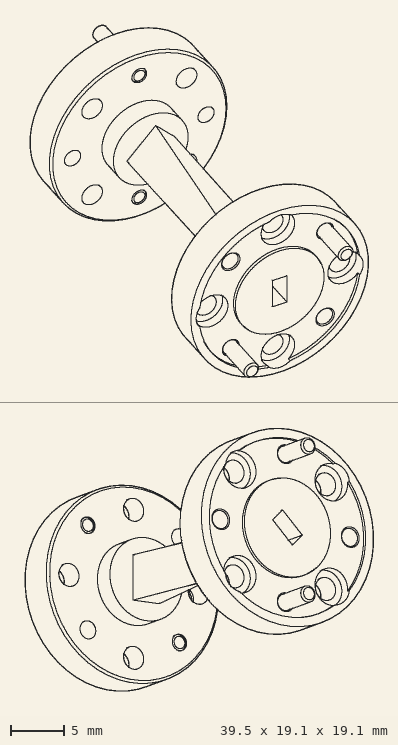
import cadquery as cq
import math

overall_length = 39.5
flange_span = 31.75
flange_diameter = 19.05
flange_thickness = 4.05
flange_chamfer = 0.25

hub_diameter = 8.0
hub_length = 2.25

recess_depth = 0.35
recess_outer_diameter = 17.25
recess_inner_diameter = 9.5

bolt_circle_diameter = 14.3
screw_hole_diameter = 2.2
counterbore_diameter = 3.6
counterbore_depth = 1.4

dowel_diameter = 1.58
dowel_chamfer = 0.2
dowel_hole_diameter = 1.75
hole_mouth_chamfer = 0.1

bore_width = 3.1
bore_height = 1.55
tube_width = 4.4
tube_height = 2.9

twist_angle = 45.0

flange_outer_x = flange_span / 2
flange_inner_x = flange_outer_x - flange_thickness
hub_inner_x = flange_inner_x - hub_length
recess_floor_x = flange_outer_x - recess_depth
dowel_tip_x = overall_length / 2
bolt_circle_radius = bolt_circle_diameter / 2

screw_angles = [45, 135, 225, 315]
dowel_hole_angles = [0, 180]
dowel_angles = [90, 270]
far_flange_turn = -twist_angle


def on_bolt_circle(angles):
    """(y, z) points on the bolt circle at the given angles."""
    return [
        (bolt_circle_radius * math.cos(math.radians(a)), bolt_circle_radius * math.sin(math.radians(a)))
        for a in angles
    ]


def section_at(x):
    """Plane across the waveguide axis: local x is Y, local y is Z, normal is +X."""
    return cq.Workplane("YZ", origin=(x, 0, 0))


def to_far_end(body):
    """Mirror a -X end shape to the +X end and turn it to that end's dowel position."""
    return body.mirror("YZ").rotate((0, 0, 0), (1, 0, 0), far_flange_turn)


def holes(diameter, angles, start_x, depth):
    """Cylinders on the bolt circle, running in +X from start_x."""
    return section_at(start_x).pushPoints(on_bolt_circle(angles)).circle(diameter / 2).extrude(depth)


def make_mouth_cone(y, z, hole_diameter):
    """Cutter for the chamfered mouth of a hole in the recess floor."""
    hole_radius = hole_diameter / 2
    mouth_center = cq.Vector(-recess_floor_x, y, z)
    cone = cq.Solid.makeCone(
        hole_radius + hole_mouth_chamfer, hole_radius, hole_mouth_chamfer, mouth_center, cq.Vector(1, 0, 0)
    )
    return cq.Workplane(cone)


def make_flange():
    """Flange and hub at the -X end, with its recess and all its round holes."""
    disc = section_at(-flange_outer_x).circle(flange_diameter / 2).extrude(flange_thickness)
    disc = disc.faces(">X").edges().chamfer(flange_chamfer)
    hub = section_at(-flange_inner_x).circle(hub_diameter / 2).extrude(hub_length)
    recess = (
        section_at(-flange_outer_x)
        .circle(recess_outer_diameter / 2)
        .circle(recess_inner_diameter / 2)
        .extrude(recess_depth)
    )
    flange = disc.union(hub).cut(recess)
    flange = flange.cut(holes(screw_hole_diameter, screw_angles, -flange_outer_x, flange_thickness))
    flange = flange.cut(holes(counterbore_diameter, screw_angles, -flange_outer_x, counterbore_depth))
    dowel_bores = ((dowel_hole_diameter, dowel_hole_angles), (dowel_diameter, dowel_angles))
    for diameter, angles in dowel_bores:
        flange = flange.cut(holes(diameter, angles, -flange_outer_x, flange_thickness))
        for y, z in on_bolt_circle(angles):
            flange = flange.cut(make_mouth_cone(y, z, diameter))
    return flange


def make_passage(width, height, end_x):
    """Bars from -end_x to end_x: a straight one through each end, a twisted one between the hubs."""
    straight_length = end_x - hub_inner_x
    far_section = cq.Sketch().rect(height, width)
    near_section = cq.Sketch().rect(height, width, angle=-twist_angle)
    near = section_at(-end_x).placeSketch(near_section).extrude(straight_length)
    far = section_at(hub_inner_x).placeSketch(far_section).extrude(straight_length)
    raised_far_section = far_section.moved(cq.Location(cq.Vector(0, 0, 2 * hub_inner_x)))
    twisted = section_at(-hub_inner_x).placeSketch(near_section, raised_far_section).loft(ruled=True)
    return near, twisted, far


def make_waveguide():
    """Two flanges joined by a twisted rectangular tube, with the bore running right through."""
    near_flange = make_flange()
    waveguide = near_flange.union(to_far_end(near_flange))
    for piece in make_passage(tube_width, tube_height, flange_inner_x):
        waveguide = waveguide.union(piece)
    for piece in make_passage(bore_width, bore_height, flange_outer_x):
        waveguide = waveguide.cut(piece)
    return waveguide


def make_dowel(y, z):
    """Dowel at the -X end, flush with the inner flange face, chamfered at both ends."""
    dowel = section_at(-dowel_tip_x).center(y, z).circle(dowel_diameter / 2).extrude(dowel_tip_x - flange_inner_x)
    return dowel.faces("<X or >X").edges().chamfer(dowel_chamfer)


waveguide = make_waveguide()

dowels = []
for y, z in on_bolt_circle(dowel_angles):
    near_dowel = make_dowel(y, z)
    dowels += [near_dowel.solids().val(), to_far_end(near_dowel).solids().val()]

result = cq.Compound.makeCompound([waveguide.solids().val(), *dowels])